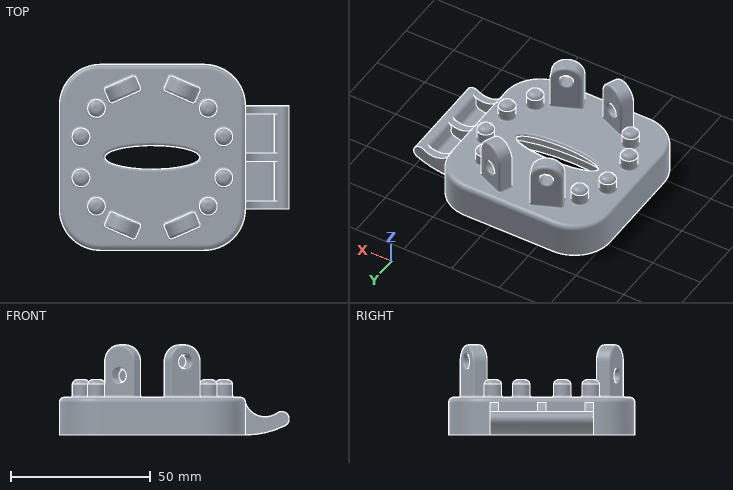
import cadquery as cq
import math

base_side = 66.75
base_height = 13.6
base_corner_radius = 14.8
base_edge_fillet = 2.0
right_wall_x = base_side / 2

oval_length = 33.95
oval_width = 8.4
oval_fillet = 1.0

recess_length = 61
recess_width = 21.1
recess_straight_depth = 3.5

ring_radius = 26.6
ring_first_angle = 16
ring_angle_step = 25.2
post_angles = (ring_first_angle, ring_first_angle + ring_angle_step)
lug_angle = ring_first_angle + 2 * ring_angle_step
foot_fillet = 0.7

post_diameter = 6.35
post_height = 6.35
post_dome_height = 1.65
post_flat_radius = 1.1

overall_height = 32.4
lug_width = 12.2
lug_thickness = 5.9
lug_edge_fillet = 1.0
lug_hole_diameter = 4.95
lug_hole_fillet = 0.75
lug_height = overall_height - base_height
upper_hole_height = lug_height - lug_width / 2
lower_hole_height = 7.7

overall_length = 82.4
hook_width = base_side - 2 * base_corner_radius
hook_top_z = base_height - base_edge_fillet
hook_tip_radius = 2.7
hook_tip_x = overall_length - base_side - hook_tip_radius
hook_tip_z = 5.8
hook_throat_radius = 7.4
hook_floor = 1.1
hook_inner_fillet = 2.5
rib_thickness = 3.0


def circle_meeting(center_a, radius_a, center_b, radius_b):
    """Return the intersection of two circles on the left of the way from A to B."""
    dx = center_b[0] - center_a[0]
    dy = center_b[1] - center_a[1]
    gap = math.hypot(dx, dy)
    along = (gap**2 + radius_a**2 - radius_b**2) / (2 * gap)
    aside = math.sqrt(radius_a**2 - along**2)
    return (
        center_a[0] + (along * dx - aside * dy) / gap,
        center_a[1] + (along * dy + aside * dx) / gap,
    )


def toward(start, target, distance):
    """Return the point at a distance from start in the direction of target."""
    gap = math.dist(start, target)
    return tuple(s + (t - s) * distance / gap for s, t in zip(start, target))


def arc_middle(center, start, end):
    """Return the middle of the shorter arc from start to end around a center."""
    chord_middle = ((start[0] + end[0]) / 2, (start[1] + end[1]) / 2)
    return toward(center, chord_middle, math.dist(center, start))


def oval(length, width, z=0):
    """Return the outline of an oval around the Z axis, long along X, at height z."""
    return cq.Workplane("XY", origin=(0, 0, z)).ellipse(length / 2, width / 2)


def make_base():
    """Return the rounded block with its oval opening and the recess below it."""
    block = (
        cq.Workplane("XY")
        .rect(base_side, base_side)
        .extrude(base_height)
        .edges("|Z")
        .fillet(base_corner_radius)
        .faces(">Z")
        .edges()
        .fillet(base_edge_fillet)
    )
    opening = oval(oval_length, oval_width).extrude(base_height)
    recess = oval(recess_length, recess_width).extrude(recess_straight_depth)
    funnel = (
        oval(recess_length, recess_width, recess_straight_depth)
        .workplane(offset=base_height - oval_fillet - recess_straight_depth)
        .ellipse(oval_length / 2, oval_width / 2)
        .loft()
    )
    return block.cut(opening).faces(">Z").edges("%ELLIPSE").fillet(oval_fillet).cut(recess).cut(funnel)


def make_post():
    """Return a post on Z = 0, with a dome that meets a small flat top smoothly."""
    radius = post_diameter / 2
    dome_reach = radius - post_flat_radius
    dome_radius = (dome_reach**2 + post_dome_height**2) / (2 * post_dome_height)
    dome_start = (radius, post_height - post_dome_height)
    dome_end = (post_flat_radius, post_height)
    dome_center = (post_flat_radius, post_height - dome_radius)
    return (
        cq.Workplane("XZ")
        .lineTo(radius, 0)
        .lineTo(*dome_start)
        .threePointArc(arc_middle(dome_center, dome_start, dome_end), dome_end)
        .lineTo(0, post_height)
        .close()
        .revolve(360, (0, 0), (0, 1))
    )


def make_lug(hole_height):
    """Return a round-topped lug on Z = 0, with its faces along Y and a hole at the given height."""
    half_width = lug_width / 2
    shoulder_z = lug_height - half_width
    lug = (
        cq.Workplane("XZ")
        .moveTo(-half_width, 0)
        .lineTo(half_width, 0)
        .lineTo(half_width, shoulder_z)
        .threePointArc((0, lug_height), (-half_width, shoulder_z))
        .close()
        .extrude(lug_thickness / 2, both=True)
        .faces("<Y or >Y")
        .edges("not <Z")
        .fillet(lug_edge_fillet)
    )
    hole = (
        cq.Workplane("XZ")
        .center(0, hole_height)
        .circle(lug_hole_diameter / 2)
        .extrude(lug_thickness, both=True)
    )
    hole_rims = cq.selectors.RadiusNthSelector(0)
    return lug.cut(hole).faces("<Y or >Y").edges("%CIRCLE").edges(hole_rims).fillet(lug_hole_fillet)


def at_ring(shape, angle, x_side, y_side):
    """Move a shape from the origin onto the ring, in the quadrant of the given signs.

    The angle is measured from the X axis, and the shape's Y axis ends up along the radius.
    """
    turn = math.radians(angle)
    x = x_side * ring_radius * math.cos(turn)
    y = y_side * ring_radius * math.sin(turn)
    direction = math.degrees(math.atan2(y, x))
    return shape.rotate((0, 0, 0), (0, 0, 1), direction - 90).translate((x, y, base_height))


def make_hook():
    """Return the hook: a curved floor ending in a round bar, with three full-height ribs."""
    tip = (hook_tip_x, hook_tip_z)
    under_radius = (hook_tip_x**2 + hook_tip_z**2 - hook_tip_radius**2) / (2 * (hook_tip_z - hook_tip_radius))
    under = (0, under_radius)
    under_end = toward(under, tip, under_radius)
    wall_top = (0, hook_top_z)
    throat = circle_meeting(
        wall_top, hook_throat_radius, tip, hook_throat_radius + hook_tip_radius
    )
    throat_end = toward(throat, tip, hook_throat_radius)
    floor_radius = under_radius - hook_floor
    blend = circle_meeting(
        tip, hook_tip_radius + hook_inner_fillet, under, floor_radius - hook_inner_fillet
    )
    blend_start = toward(under, blend, floor_radius)
    blend_end = toward(tip, blend, hook_tip_radius)
    root = -base_edge_fillet

    def underside(start_y):
        """Return the open outline of the underside and the tip, drawn in the plane Y = start_y."""
        return (
            cq.Workplane("XZ", origin=(right_wall_x, start_y, 0))
            .moveTo(root, 0)
            .lineTo(0, 0)
            .threePointArc(arc_middle(under, (0, 0), under_end), under_end)
            .threePointArc((hook_tip_x + hook_tip_radius, hook_tip_z), throat_end)
        )

    def rib(start_y):
        """Return a full-height rib reaching from start_y toward +Y."""
        return (
            underside(start_y)
            .threePointArc(arc_middle(throat, throat_end, wall_top), wall_top)
            .lineTo(root, hook_top_z)
            .close()
            .extrude(-rib_thickness)
        )

    def scoop(start_y):
        """Return the curved floor and tip bar between two ribs, reaching from start_y toward +Y."""
        return (
            underside(start_y)
            .threePointArc(arc_middle(tip, throat_end, blend_end), blend_end)
            .threePointArc(arc_middle(blend, blend_end, blend_start), blend_start)
            .threePointArc(arc_middle(under, blend_start, (0, hook_floor)), (0, hook_floor))
            .lineTo(root, hook_floor)
            .close()
            .extrude(-scoop_width)
        )

    scoop_width = (hook_width - 3 * rib_thickness) / 2
    pitch = scoop_width + rib_thickness
    hook = rib(-hook_width / 2)
    for index in range(2):
        start_y = -hook_width / 2 + rib_thickness + index * pitch
        hook = hook.union(scoop(start_y)).union(rib(start_y + scoop_width))
    return hook


def is_foot_edge(edge):
    """Tell whether an edge is one where a post or a lug stands on the base."""
    center = edge.Center()
    off_ring = abs(math.hypot(center.x, center.y) - ring_radius)
    return abs(center.z - base_height) < 0.01 and off_ring < lug_thickness


def make_part():
    """Return the base with its hook, posts and lugs."""
    part = make_base()
    post = make_post()
    for x_side in (-1, 1):
        for y_side in (-1, 1):
            hole_height = lower_hole_height if x_side == y_side else upper_hole_height
            for angle in post_angles:
                part = part.union(at_ring(post, angle, x_side, y_side))
            part = part.union(at_ring(make_lug(hole_height), lug_angle, x_side, y_side))
    return part.edges().filter(is_foot_edge).fillet(foot_fillet).union(make_hook())


result = make_part()